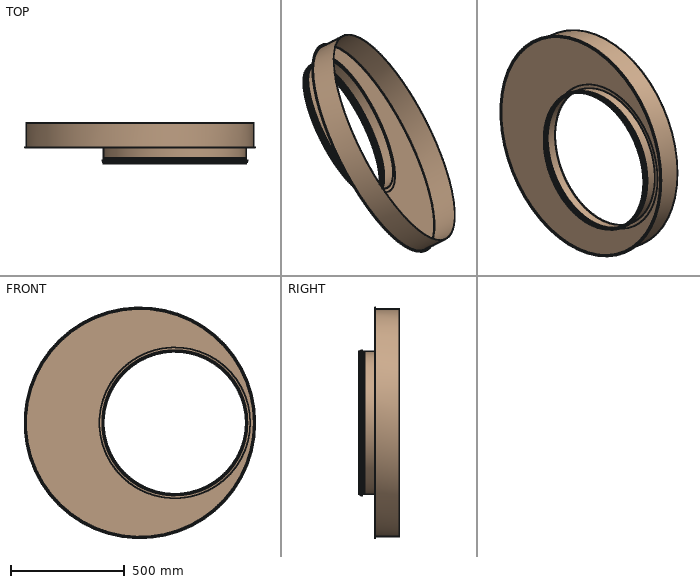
import cadquery as cq

sheet = 1.0
total_depth = 179.0
spigot_length = 70.0
rim_diameter = 1015.0
drum_diameter = 1001.0
drum_bore_diameter = 1000.0
seam_lip_diameter = 1001.0
plate_diameter = 1011.0
spigot_offset = 153.0
spigot_diameter = 629.0
spigot_bore_diameter = 627.0
bead_bore_diameter = 623.0
flange_diameter = 663.0
seat_diameter = 625.0
groove_setback = 2.0
groove_width = 24.0
groove_slope = 3.0
gasket_width = 15.0
gasket_diameter = 629.0
front_lip_diameter = 634.0
rear_lip_diameter = 640.0
lip_thickness = 3.0
front_lip_setback = 2.0
rear_lip_setback = 7.0

spigot_end = -total_depth
seam_front = spigot_end + spigot_length
plate_front = seam_front + sheet
plate_back = plate_front + sheet
seam_back = plate_back + sheet
groove_front = spigot_end + groove_setback
groove_back = groove_front + groove_width
seat_front = groove_front + groove_slope
seat_back = groove_back - groove_slope
gasket_front = seat_front
gasket_back = gasket_front + gasket_width

rim_radius = rim_diameter / 2
drum_radius = drum_diameter / 2
drum_bore_radius = drum_bore_diameter / 2
plate_radius = plate_diameter / 2
seam_lip_radius = seam_lip_diameter / 2
spigot_radius = spigot_diameter / 2
spigot_bore_radius = spigot_bore_diameter / 2
bead_bore_radius = bead_bore_diameter / 2
flange_radius = flange_diameter / 2
seat_radius = seat_diameter / 2
gasket_radius = gasket_diameter / 2


def turned(profile, axis_x=0):
    """Revolve a closed (radius, y) profile about the line x = axis_x parallel to Y."""
    points = [(axis_x + radius, y) for radius, y in profile]
    return cq.Workplane("XY").polyline(points).close().revolve(360, (axis_x, 0, 0), (axis_x, 1, 0))


def make_drum():
    """Thin cylinder whose front edge turns outward and folds, with a bevelled rim, over the end plate."""
    return turned([
        (drum_bore_radius, 0),
        (drum_radius, 0),
        (drum_radius, seam_back),
        (rim_radius, seam_back),
        (rim_radius, plate_back),
        (plate_radius, seam_front),
        (seam_lip_radius, seam_front),
        (seam_lip_radius, plate_front),
        (plate_radius, plate_front),
        (plate_radius, plate_back),
        (drum_bore_radius, plate_back),
    ])


def make_end_plate():
    """Flat disc held in the drum seam, with an off-centre opening for the spigot."""
    disc = turned([
        (0, plate_front),
        (plate_radius, plate_front),
        (plate_radius, plate_back),
        (0, plate_back),
    ])
    opening = turned([
        (0, seam_front),
        (spigot_bore_radius, seam_front),
        (spigot_bore_radius, seam_back),
        (0, seam_back),
    ], spigot_offset)
    return disc.cut(opening)


def make_spigot():
    """Thin tube with a flange on the end plate and a pressed-in groove for the gasket."""
    return turned([
        (spigot_bore_radius, plate_front),
        (flange_radius, plate_front),
        (flange_radius, seam_front),
        (spigot_radius, seam_front),
        (spigot_radius, groove_back),
        (seat_radius, seat_back),
        (seat_radius, seat_front),
        (spigot_radius, groove_front),
        (spigot_radius, spigot_end),
        (spigot_bore_radius, spigot_end),
        (spigot_bore_radius, groove_front),
        (bead_bore_radius, seat_front),
        (bead_bore_radius, seat_back),
        (spigot_bore_radius, groove_back),
    ], spigot_offset)


def gasket_lip(lip_diameter, setback):
    """Corner points of one sealing lip that stands on the gasket band."""
    lip_radius = lip_diameter / 2
    lip_front = gasket_front + setback
    lip_back = lip_front + lip_thickness
    return [
        (gasket_radius, lip_front),
        (lip_radius, lip_front),
        (lip_radius, lip_back),
        (gasket_radius, lip_back),
    ]


def make_gasket():
    """Band in the spigot groove with two outward sealing lips."""
    return turned([
        (seat_radius, gasket_front),
        (gasket_radius, gasket_front),
        *gasket_lip(front_lip_diameter, front_lip_setback),
        *gasket_lip(rear_lip_diameter, rear_lip_setback),
        (gasket_radius, gasket_back),
        (seat_radius, gasket_back),
    ], spigot_offset)


drum = make_drum()
end_plate = make_end_plate()
spigot = make_spigot()
gasket = make_gasket()

result = cq.Compound.makeCompound([drum.val(), end_plate.val(), spigot.val(), gasket.val()])